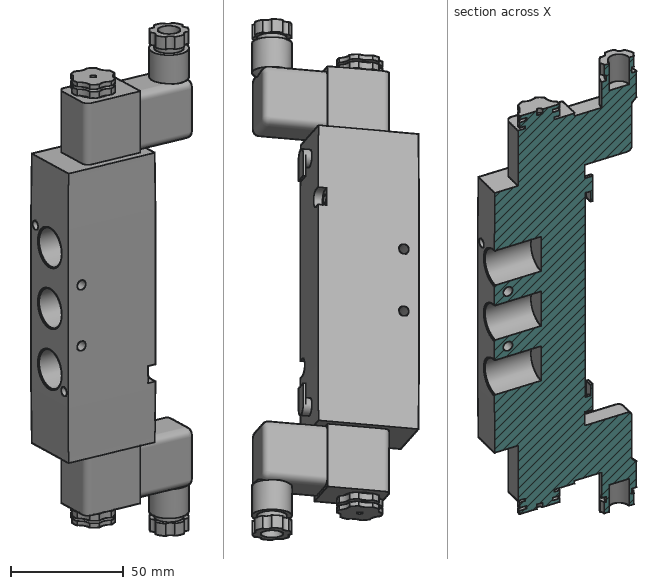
import cadquery as cq
import math


overall_depth = 72.5

body_width = 30.0
body_front = -overall_depth / 2
body_back = 10.2
body_half_length = 42.5
block_draft = 0.5
cap_start = 66.9
block_end = 69.0

port_spacing = 29.0
port_bore = 18.0
port_chamfer = 0.5
port_chamfer_angle = 45
port_depth = 23.8
cross_hole_diameter = 4.5
cross_hole_y = -29.3
cross_hole_z = port_spacing / 2
mount_hole_diameter = 4.3
mount_hole_x = 11.5
mount_hole_z = 36.0
mount_slot_width = 8.0
mount_slot_floor = 6.2

override_z = 58.0
override_root = 7.1
override_diameter = 8.0
override_back = 14.0
lever_thickness = 1.2
lever_tip_z = 48.5

coil_width = 22.1
coil_front = -24.3
coil_back = 4.8
coil_top = 98.3
coil_fillet = 3.0

knob_y = -13.0
knob_top = 105.7
knob_bottom = 99.2
knob_radius = 10.2
knob_scallop_radius = 6.0
knob_scallop_depth = 1.5
knob_neck_diameter = 15.0
groove_diameter = 13.3
groove_top = 103.5
groove_bottom = 102.3
knob_pin_diameter = 2.5
knob_pin_depth = 2.4

plug_width = 21.0
plug_back = 34.0
plug_top = 96.9
plug_side_fillet = 3.5
plug_end_fillet = 2.9

gland_diameter = 17.8
gland_back = overall_depth / 2
gland_y = gland_back - gland_diameter / 2
gland_bottom = 94.2
gland_bottom_chamfer = 2.4
gland_top = 110.5
gland_neck_diameter = 13.3
nut_bottom = 113.0
nut_top = 119.0
nut_radius = 8.8
nut_scallop_radius = 2.5
nut_scallop_depth = 1.2
cable_hole_diameter = 10.0
cable_hole_depth = 14.3

lobe_count = 6


def box(width, front, back, bottom, top):
    """Block centred on x = 0 between the given Y and Z limits."""
    size = (width, back - front, top - bottom)
    return cq.Workplane("XY").box(*size, centered=(True, False, False)).translate((0, front, bottom))


def upright(diameter, y, bottom, top):
    """Cylinder along Z standing on the x = 0 plane."""
    return cq.Workplane("XY", origin=(0, y, bottom)).circle(diameter / 2).extrude(top - bottom)


def scalloped_disc(radius, y, bottom, top, scallop_radius, scallop_depth, first_angle):
    """Disc along Z whose rim has evenly spaced round grip scallops."""
    disc = upright(2 * radius, y, bottom, top)
    centre_distance = radius - scallop_depth + scallop_radius
    for index in range(lobe_count):
        angle = math.radians(first_angle + index * 360 / lobe_count)
        offset = (centre_distance * math.cos(angle), centre_distance * math.sin(angle), 0)
        disc = disc.cut(upright(2 * scallop_radius, y, bottom, top).translate(offset))
    return disc


def make_end_block():
    """Upper end block, narrowing a little from the body to its cap."""
    draft_length = cap_start - body_half_length
    middle_y = (body_front + body_back) / 2
    block = cq.Workplane("XY", origin=(0, middle_y, body_half_length))
    block = block.rect(body_width, body_back - body_front).extrude(draft_length, taper=block_draft)
    return block.faces(">Z").wires().toPending().workplane().extrude(block_end - cap_start)


def make_coil():
    coil = box(coil_width, coil_front, coil_back, block_end, coil_top)
    return coil.faces("<Y").edges("|Z").fillet(coil_fillet)


def make_knob():
    knob = scalloped_disc(
        knob_radius, knob_y, knob_bottom, knob_top, knob_scallop_radius, knob_scallop_depth, 0
    )
    groove = upright(2 * knob_radius, knob_y, groove_bottom, groove_top)
    groove = groove.cut(upright(groove_diameter, knob_y, groove_bottom, groove_top))
    pin_hole = upright(knob_pin_diameter, knob_y, knob_top - knob_pin_depth, knob_top)
    neck = upright(knob_neck_diameter, knob_y, coil_top, knob_bottom)
    return knob.cut(groove).cut(pin_hole).union(neck)


def make_plug():
    plug = box(plug_width, coil_back, plug_back, block_end, plug_top)
    plug = plug.edges("|Y").fillet(plug_side_fillet)
    return plug.faces(">Y").edges().fillet(plug_end_fillet)


def make_gland():
    sleeve = upright(gland_diameter, gland_y, gland_bottom, gland_top)
    sleeve = sleeve.faces("<Z").chamfer(gland_bottom_chamfer)
    neck = upright(gland_neck_diameter, gland_y, gland_top, nut_bottom)
    nut = scalloped_disc(
        nut_radius, gland_y, nut_bottom, nut_top,
        nut_scallop_radius, nut_scallop_depth, 180 / lobe_count,
    )
    cable_hole = upright(cable_hole_diameter, gland_y, nut_top - cable_hole_depth, nut_top)
    return sleeve.union(neck).union(nut).cut(cable_hole)


def make_override():
    """Round stub with a flat lever that points back toward the middle of the body."""
    stub = cq.Workplane("XZ", origin=(0, override_root, override_z)).circle(override_diameter / 2)
    stub = stub.extrude(override_root - override_back)
    lever_front = override_back - lever_thickness
    return stub.union(box(override_diameter, lever_front, override_back, lever_tip_z, override_z))


def make_head():
    """Upper end block and everything mounted on it."""
    head = make_end_block()
    for piece in (make_coil(), make_plug(), make_gland(), make_knob(), make_override()):
        head = head.union(piece)
    return head


def make_ports():
    """Three bores entering from the front, each with a small lead-in chamfer."""
    ports = cq.Workplane("XZ", origin=(0, body_front, 0))
    ports = ports.pushPoints([(0, -port_spacing), (0, 0), (0, port_spacing)])
    bores = ports.circle(port_bore / 2).extrude(-port_depth)
    mouths = ports.circle(port_bore / 2 + port_chamfer).extrude(-port_chamfer, taper=port_chamfer_angle)
    return bores.union(mouths)


def make_cross_holes():
    """Mounting holes through the body from side to side."""
    holes = cq.Workplane("YZ", origin=(-body_width / 2, 0, 0))
    holes = holes.pushPoints([(cross_hole_y, -cross_hole_z), (cross_hole_y, cross_hole_z)])
    return holes.circle(cross_hole_diameter / 2).extrude(body_width)


def make_mount_hole():
    """Front-to-back hole with a round-ended slot on the back that opens through the -X side."""
    back_plane = cq.Workplane("XZ", origin=(-mount_hole_x, body_back, mount_hole_z))
    hole = back_plane.circle(mount_hole_diameter / 2).extrude(body_back - body_front)
    slot_depth = body_back - mount_slot_floor
    slot_end = back_plane.circle(mount_slot_width / 2).extrude(slot_depth)
    run_length = body_width / 2 - mount_hole_x
    slot_run = back_plane.center(-run_length / 2, 0).rect(run_length, mount_slot_width).extrude(slot_depth)
    return hole.union(slot_end).union(slot_run)


body = box(body_width, body_front, body_back, -body_half_length, body_half_length)
body = body.cut(make_ports()).cut(make_cross_holes())

mount_hole = make_mount_hole()
body = body.cut(mount_hole)
body = body.cut(mount_hole.rotate((0, 0, 0), (0, 1, 0), 180))

head = make_head()
result = body.union(head).union(head.mirror("XY"))